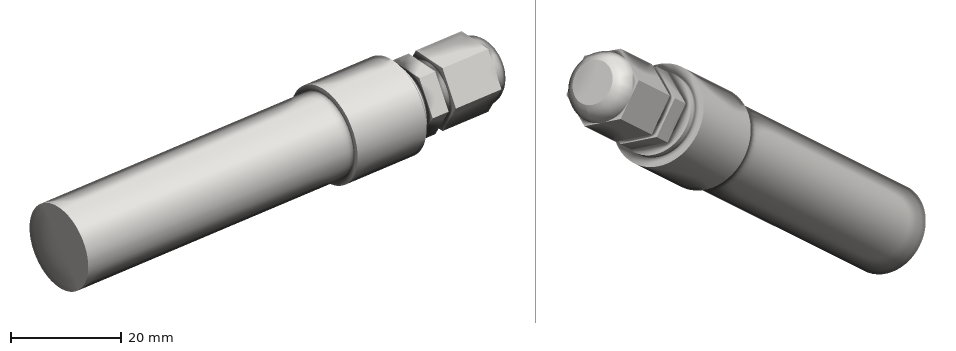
import cadquery as cq
import math

total_length = 99.6

tube_diameter = 17.1
tube_length = 61.4
collar_diameter = 19.5
collar_length = 15.9

washer_diameter = 15.9
washer_thickness = 1.5

hex_across_flats = 13.4
hex_across_corners = hex_across_flats / math.cos(math.pi / 6)
stem_diameter = 12.0
flange_offset = 1.5
flange_thickness = 3.7
nut_gap = 1.7
dome_height = 3.4
dome_tip_radius = 4.3

collar_start = tube_length
collar_end = collar_start + collar_length
washer_end = collar_end + washer_thickness
flange_start = washer_end + flange_offset
flange_end = flange_start + flange_thickness
nut_start = flange_end + nut_gap
dome_start = total_length - dome_height


def section_plane(y):
    """Plane across the Y axis, with its normal along +Y and its local x along X."""
    return cq.Workplane(cq.Plane(origin=(0, y, 0), xDir=(1, 0, 0), normal=(0, 1, 0)))


def cylinder(diameter, start, end):
    return section_plane(start).circle(diameter / 2).extrude(end - start)


def hexagon(start, end):
    """Hexagonal prism with corners on the X axis and flats facing +Z and -Z."""
    return section_plane(start).polygon(6, hex_across_corners).extrude(end - start)


def make_tube():
    return cylinder(tube_diameter, 0, collar_start)


def make_collar():
    return cylinder(collar_diameter, collar_start, collar_end)


def make_washer():
    washer = cylinder(washer_diameter, collar_end, washer_end)
    return washer.cut(cylinder(stem_diameter, collar_end, washer_end))


def make_gland_body():
    """Round stem, from the collar to the cap nut, with a hexagonal flange."""
    stem = cylinder(stem_diameter, collar_end, nut_start)
    return stem.union(hexagon(flange_start, flange_end))


def make_dome():
    """Dome whose arc leaves its base parallel to the axis and ends at a flat tip."""
    base_radius = hex_across_flats / 2
    inset = base_radius - dome_tip_radius
    arc_radius = (inset**2 + dome_height**2) / (2 * inset)
    half_angle = math.asin(dome_height / arc_radius) / 2
    arc_middle = (
        base_radius - arc_radius * (1 - math.cos(half_angle)),
        dome_start + arc_radius * math.sin(half_angle),
    )
    return (
        cq.Workplane("XY")
        .moveTo(0, dome_start)
        .lineTo(base_radius, dome_start)
        .threePointArc(arc_middle, (dome_tip_radius, total_length))
        .lineTo(0, total_length)
        .close()
        .revolve(360, (0, 0, 0), (0, 1, 0))
    )


def make_cap_nut():
    return hexagon(nut_start, dome_start).union(make_dome())


tube = make_tube()
collar = make_collar()
washer = make_washer()
gland_body = make_gland_body()
cap_nut = make_cap_nut()

result = cq.Compound.makeCompound(
    [tube.val(), collar.val(), washer.val(), gland_body.val(), cap_nut.val()]
)